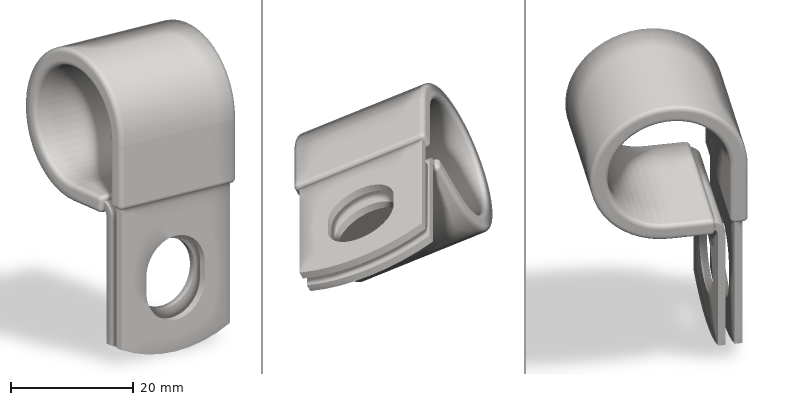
import cadquery as cq
import math

outer_radius = 13.1
cushion_thickness = 2.9
cushion_width = 23.8
edge_radius = 0.75
inner_radius = outer_radius - cushion_thickness
upright_end_z = -11.15
level_end_x = 7.65

strap_thickness = 1.3
strap_width = cushion_width - 2 * edge_radius
strap_inner_radius = inner_radius + edge_radius
bent_tab_outer_x = 9.5
bend_outer_radius = 2.55
bend_inner_radius = bend_outer_radius - strap_thickness
embedded_length = 1.0
tab_bottom_z = outer_radius - 51.2
tip_arc_height = 2.55

hole_diameter = 12.0
slot_length = hole_diameter + 2.55
hole_z = tab_bottom_z + 12.75


def extrude_centred(profile, width):
    """Extrude an XZ outline equally to both sides of the XZ plane."""
    return profile.close().extrude(width / 2, both=True)


def make_cushion():
    diagonal = math.sqrt(0.5)
    profile = (
        cq.Workplane("XZ")
        .moveTo(level_end_x, -outer_radius)
        .lineTo(0, -outer_radius)
        .threePointArc((-outer_radius * diagonal, outer_radius * diagonal), (outer_radius, 0))
        .lineTo(outer_radius, upright_end_z)
        .lineTo(inner_radius, upright_end_z)
        .lineTo(inner_radius, 0)
        .threePointArc((-inner_radius * diagonal, inner_radius * diagonal), (0, -inner_radius))
        .lineTo(level_end_x, -inner_radius)
    )
    return extrude_centred(profile, cushion_width).edges().fillet(edge_radius)


def make_straight_tab():
    top_z = upright_end_z + embedded_length
    profile = (
        cq.Workplane("XZ")
        .moveTo(strap_inner_radius, top_z)
        .lineTo(strap_inner_radius + strap_thickness, top_z)
        .lineTo(strap_inner_radius + strap_thickness, tab_bottom_z)
        .lineTo(strap_inner_radius, tab_bottom_z)
    )
    return extrude_centred(profile, strap_width)


def make_bent_tab():
    start_x = level_end_x - embedded_length
    top_z = -strap_inner_radius
    inner_x = bent_tab_outer_x - strap_thickness
    bend_x = bent_tab_outer_x - bend_outer_radius
    bend_z = top_z - bend_outer_radius
    profile = (
        cq.Workplane("XZ")
        .moveTo(start_x, top_z)
        .lineTo(bend_x, top_z)
        .radiusArc((bent_tab_outer_x, bend_z), bend_outer_radius)
        .lineTo(bent_tab_outer_x, tab_bottom_z)
        .lineTo(inner_x, tab_bottom_z)
        .lineTo(inner_x, bend_z)
        .radiusArc((bend_x, top_z - strap_thickness), -bend_inner_radius)
        .lineTo(start_x, top_z - strap_thickness)
    )
    return extrude_centred(profile, strap_width)


def make_tab_envelope():
    """Side outline of the tabs, with the rounded tip, spanning both of them in X."""
    half_width = strap_width / 2
    corner_z = tab_bottom_z + tip_arc_height
    return (
        cq.Workplane("YZ")
        .moveTo(-half_width, 0)
        .lineTo(-half_width, corner_z)
        .threePointArc((0, tab_bottom_z), (half_width, corner_z))
        .lineTo(half_width, 0)
        .close()
        .extrude(outer_radius)
    )


def make_bolt_hole():
    return cq.Workplane("YZ").center(0, hole_z).circle(hole_diameter / 2).extrude(outer_radius)


def make_bolt_slot():
    return cq.Workplane("YZ").center(0, hole_z).slot2D(slot_length, hole_diameter, 90).extrude(outer_radius)


straight_tab = make_straight_tab().cut(make_bolt_slot())
bent_tab = make_bent_tab().cut(make_bolt_hole())
tabs = straight_tab.union(bent_tab).intersect(make_tab_envelope())
result = make_cushion().union(tabs)